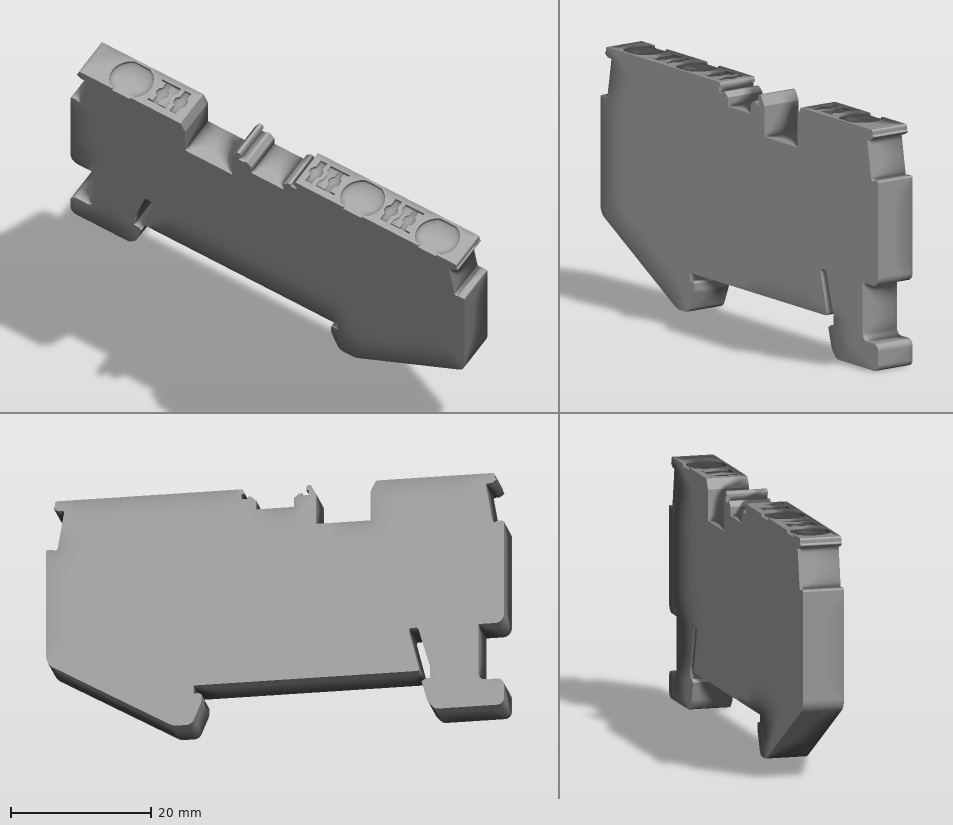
import cadquery as cq
import math

LENGTH = 66.5
THICKNESS = 6.1
HEIGHT = 35.25

SHOULDER_Z = 27.9
SHOULDER_RADIUS = 0.25
SHOULDER_RUN = 1.0
RELIEF_DEPTH = 0.2
NECK_FOOT = 1.65
NECK_HEAD = 2.65
LIP_BOTTOM_Z = 33.7
LIP_TIP_Z = 34.25
LIP_TIP = 1.0
LIP_TIP_RADIUS = 0.1
LIP_TIP_HEIGHT = 0.25
LIP_UNDERCUT = 0.45
NECK_RADIUS = 0.2
TOP_INSET = 1.3
TOP_RADIUS = 0.3

NOTCH_LEFT = 19.35
NOTCH_RIGHT = 27.25
NOTCH_FLOOR_Z = 29.25
NOTCH_CHAMFER_RUN = 0.8
NOTCH_CHAMFER_DROP = 1.45

SEAT_CENTER = LENGTH / 2
SEAT_HALF_WIDTH = 2.7
SEAT_FLOOR_Z = 32.05
SEAT_WALL_TOP_Z = 33.4
RIDGE_INNER = 3.45
RIDGE_OUTER = 3.9
RIDGE_TOP_Z = 34.05
GROOVE_FLOOR_Z = 33.7
GROOVE_OUTER = 4.85
HOOK_TIP = 4.5
HOOK_BOTTOM_Z = 34.5
HOOK_SIDE_Z = 34.85
HOOK_TOP = 4.7

BODY_BOTTOM_Z = 5.9
HEEL_X = 45.1
JAW_Z = 4.7
JAW_TIP_X = 43.95
JAW_BEVEL_RUN = 0.45
JAW_BEVEL_DROP = 0.2
HEEL_BEND_Z = 3.3
HEEL_BEND_RADIUS = 1.3
HEEL_TOE_X = 45.35
SLOPE_START_X = 48.1
SLOPE_ANGLE = 30.0
HEEL_RADIUS = 1.2
SLOPE_RADIUS = 2.0

SLIT_TOP_Z = 12.5
SLIT_LEFT_TOP_X = 12.5
SLIT_RIGHT_TOP_X = 13.9
SLIT_RIGHT_BOTTOM_X = 12.25
SLIT_BEND_Z = 6.4
SPRING_X = 10.7
SPRING_LEFT_X = 3.7
FOOT_TIP_X = 12.0
FOOT_TIP_Z = 4.3
FOOT_TIP_RUN = 0.65
FOOT_BEND_X = 11.1
FOOT_BEND_Z = 1.2
FOOT_TOE_X = 10.0
FOOT_TOP_Z = 4.0
FOOT_RADIUS = 1.0
FOOT_BEND_RADIUS = 2.0
FOOT_TOE_RADIUS = 1.0
LEG_RADIUS = 1.0
SIDE_BOTTOM_Z = 12.45
SIDE_RADIUS = 1.3
SLIT_RADIUS = 0.3

ENTRY_Y = 2.8
ENTRY_RADIUS = 3.2
ENTRY_WALL = 0.4
ENTRY_OPENING = 3.05
RECESS_DEPTH = 0.4

SLOT_Y = 3.1
OUTER_SLOT_OFFSET = 8.05
OUTER_SLOT_WIDTH = 1.05
OUTER_SLOT_LENGTH = 4.2
OUTER_BULGE_RADIUS = 1.0
INNER_SLOT_OFFSET = 5.0
INNER_SLOT_WIDTH = 0.9
INNER_SLOT_LENGTH = 4.1
INNER_BULGE_RADIUS = 0.9

BAR_START = 3.7
BAR_END = 6.85
BAR_WIDTH = 0.25
WING_DEPTH = 0.2
WING_GAP = 0.6

TERMINALS = ((8.5, 1), (47.55, -1), (60.2, -1))


def mirrored(corners, center_x):
    """Mirror corners about a vertical line, keeping the walking direction."""
    return [(2 * center_x - x, z, radius) for x, z, radius in reversed(corners)]


def rounded_outline(corners):
    """Closed XZ wire from (x, z, radius) corners, each rounded by a tangent arc."""
    edges = []
    previous_end = None
    first_start = None
    for i, (x, z, radius) in enumerate(corners):
        corner = cq.Vector(x, 0, z)
        before_x, before_z, _ = corners[i - 1]
        after_x, after_z, _ = corners[(i + 1) % len(corners)]
        to_before = (cq.Vector(before_x, 0, before_z) - corner).normalized()
        to_after = (cq.Vector(after_x, 0, after_z) - corner).normalized()
        half_angle = to_before.getAngle(to_after) / 2
        setback = radius / math.tan(half_angle)
        start = corner + to_before * setback
        end = corner + to_after * setback
        if previous_end is None:
            first_start = start
        else:
            edges.append(cq.Edge.makeLine(previous_end, start))
        if radius > 0:
            bisector = (to_before + to_after).normalized()
            middle = corner + bisector * (radius / math.sin(half_angle) - radius)
            edges.append(cq.Edge.makeThreePointArc(start, middle, end))
        previous_end = end
    edges.append(cq.Edge.makeLine(previous_end, first_start))
    return cq.Wire.assembleEdges(edges)


def upper_end():
    """Left upper end, from the shoulder up to the top face."""
    return [
        (0, SHOULDER_Z, SHOULDER_RADIUS),
        (SHOULDER_RUN, SHOULDER_Z, 0),
        ((SHOULDER_RUN + NECK_FOOT) / 2, SHOULDER_Z - RELIEF_DEPTH, 0),
        (NECK_FOOT, SHOULDER_Z, 0),
        (NECK_HEAD, LIP_BOTTOM_Z, NECK_RADIUS),
        (TOP_INSET + LIP_UNDERCUT, LIP_BOTTOM_Z, 0),
        (LIP_TIP, LIP_TIP_Z, LIP_TIP_RADIUS),
        (TOP_INSET, LIP_TIP_Z + LIP_TIP_HEIGHT, 0),
        (TOP_INSET, HEIGHT, TOP_RADIUS),
    ]


def notch():
    """Wide notch with chamfered upper edges."""
    chamfer_z = HEIGHT - NOTCH_CHAMFER_DROP
    return [
        (NOTCH_LEFT - NOTCH_CHAMFER_RUN, HEIGHT, 0),
        (NOTCH_LEFT, chamfer_z, 0),
        (NOTCH_LEFT, NOTCH_FLOOR_Z, 0),
        (NOTCH_RIGHT, NOTCH_FLOOR_Z, 0),
        (NOTCH_RIGHT, chamfer_z, 0),
        (NOTCH_RIGHT + NOTCH_CHAMFER_RUN, HEIGHT, 0),
    ]


def seat_side():
    """Left half of the latch seat, from the hook down to the floor."""
    profile = [
        (HOOK_TOP, HEIGHT, 0),
        (HOOK_TIP, HOOK_SIDE_Z, 0),
        (HOOK_TIP, HOOK_BOTTOM_Z, 0),
        (GROOVE_OUTER, HOOK_BOTTOM_Z, 0),
        (GROOVE_OUTER, GROOVE_FLOOR_Z, 0),
        (RIDGE_OUTER, GROOVE_FLOOR_Z, 0),
        (RIDGE_OUTER, RIDGE_TOP_Z, 0),
        (RIDGE_INNER, RIDGE_TOP_Z, 0),
        (SEAT_HALF_WIDTH, SEAT_WALL_TOP_Z, 0),
        (SEAT_HALF_WIDTH, SEAT_FLOOR_Z, 0),
    ]
    return [(SEAT_CENTER - offset, z, radius) for offset, z, radius in profile]


def fixed_jaw():
    """Sloped lower right corner and the fixed rail jaw."""
    slope_rise = (LENGTH - SLOPE_START_X) * math.tan(math.radians(SLOPE_ANGLE))
    return [
        (LENGTH, slope_rise, SLOPE_RADIUS),
        (SLOPE_START_X, 0, SLOPE_RADIUS),
        (HEEL_TOE_X, 0, HEEL_RADIUS),
        (JAW_TIP_X, HEEL_BEND_Z, HEEL_BEND_RADIUS),
        (JAW_TIP_X, JAW_Z - JAW_BEVEL_DROP, 0),
        (JAW_TIP_X + JAW_BEVEL_RUN, JAW_Z, 0),
        (HEEL_X, JAW_Z, 0),
        (HEEL_X, BODY_BOTTOM_Z, 0),
    ]


def spring_foot():
    """Slit, spring leg and foot of the lower left corner."""
    return [
        (SLIT_RIGHT_BOTTOM_X, BODY_BOTTOM_Z, SLIT_RADIUS),
        (SLIT_RIGHT_TOP_X, SLIT_TOP_Z, SLIT_RADIUS),
        (SLIT_LEFT_TOP_X, SLIT_TOP_Z, SLIT_RADIUS),
        (SPRING_X, SLIT_BEND_Z, 0),
        (SPRING_X, JAW_Z, 0),
        (FOOT_TIP_X - FOOT_TIP_RUN, JAW_Z, 0),
        (FOOT_TIP_X, FOOT_TIP_Z, 0),
        (FOOT_BEND_X, FOOT_BEND_Z, FOOT_BEND_RADIUS),
        (FOOT_TOE_X, 0, FOOT_TOE_RADIUS),
        (0, 0, FOOT_RADIUS),
        (0, FOOT_TOP_Z, FOOT_RADIUS),
        (SPRING_LEFT_X, FOOT_TOP_Z, LEG_RADIUS),
        (SPRING_LEFT_X, SIDE_BOTTOM_Z, 0),
        (0, SIDE_BOTTOM_Z, SIDE_RADIUS),
    ]


def body():
    """Plate with the full outline, front face at Y = 0."""
    corners = upper_end() + notch() + seat_side() + mirrored(seat_side(), SEAT_CENTER)
    corners += mirrored(upper_end(), LENGTH / 2) + fixed_jaw() + spring_foot()
    plate = cq.Solid.extrudeLinear(rounded_outline(corners), [], cq.Vector(0, THICKNESS, 0))
    return cq.Workplane(plate)


def recess_floor(center_x, center_y, depth):
    """Workplane at the floor of a recess of the given depth in the top face."""
    return cq.Workplane("XY", origin=(center_x, center_y, HEIGHT - depth))


def wire_entry(center_x):
    """Cutter for a round entry with flat front and back walls and a front gap."""
    disc = recess_floor(center_x, ENTRY_Y, RECESS_DEPTH).circle(ENTRY_RADIUS).extrude(RECESS_DEPTH)
    between_walls = (
        recess_floor(center_x, THICKNESS / 2, RECESS_DEPTH)
        .rect(2 * ENTRY_RADIUS, THICKNESS - 2 * ENTRY_WALL)
        .extrude(RECESS_DEPTH)
    )
    front_gap = (
        recess_floor(center_x, ENTRY_WALL / 2, RECESS_DEPTH)
        .rect(ENTRY_OPENING, ENTRY_WALL)
        .extrude(RECESS_DEPTH)
    )
    return disc.intersect(between_walls).union(front_gap)


def bulged_slot(center_x, width, length, bulge_radius):
    """Cutter for a slot along Y with a round bulge at its middle."""
    plane = recess_floor(center_x, SLOT_Y, RECESS_DEPTH)
    return plane.rect(width, length).extrude(RECESS_DEPTH).union(
        plane.circle(bulge_radius).extrude(RECESS_DEPTH)
    )


def cross_bars(entry_x, side):
    """Cutter for the narrow bars across both ends of the inner slot."""
    bar_x = entry_x + side * (BAR_START + BAR_END) / 2
    bar_y = (INNER_SLOT_LENGTH - BAR_WIDTH) / 2
    return (
        recess_floor(bar_x, SLOT_Y, RECESS_DEPTH)
        .pushPoints([(0, -bar_y), (0, bar_y)])
        .rect(BAR_END - BAR_START, BAR_WIDTH)
        .extrude(RECESS_DEPTH)
    )


def wing(entry_x, side):
    """Cutter for the shallow wing, hollowed around the bulge of the outer slot."""
    wing_x = entry_x + side * (INNER_SLOT_OFFSET + BAR_END) / 2
    plate = (
        recess_floor(wing_x, SLOT_Y, WING_DEPTH)
        .rect(BAR_END - INNER_SLOT_OFFSET, INNER_SLOT_LENGTH)
        .extrude(WING_DEPTH)
    )
    land = (
        recess_floor(entry_x + side * OUTER_SLOT_OFFSET, SLOT_Y, WING_DEPTH)
        .circle(OUTER_BULGE_RADIUS + WING_GAP)
        .extrude(WING_DEPTH)
    )
    return plate.cut(land)


result = body()
for terminal_x, slot_side in TERMINALS:
    inner_x = terminal_x + slot_side * INNER_SLOT_OFFSET
    outer_x = terminal_x + slot_side * OUTER_SLOT_OFFSET
    result = (
        result.cut(wire_entry(terminal_x))
        .cut(bulged_slot(inner_x, INNER_SLOT_WIDTH, INNER_SLOT_LENGTH, INNER_BULGE_RADIUS))
        .cut(bulged_slot(outer_x, OUTER_SLOT_WIDTH, OUTER_SLOT_LENGTH, OUTER_BULGE_RADIUS))
        .cut(cross_bars(terminal_x, slot_side))
        .cut(wing(terminal_x, slot_side))
    )